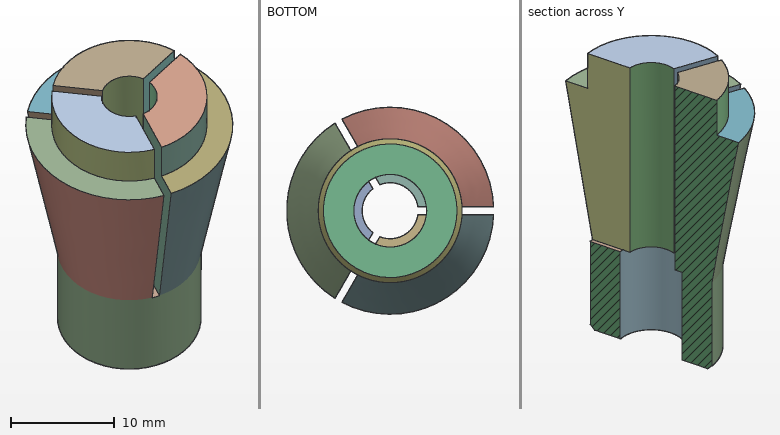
import cadquery as cq

total_height = 31.3
shank_diameter = 13.9
shank_height = 10.08
shank_chamfer = 0.5
head_diameter = 20.0
collar_diameter = 15.0
collar_height = 4.0

grip_diameter = 5.38
relief_diameter = 7.0

slot_count = 3
slot_width = 0.75

shank_radius = shank_diameter / 2
head_radius = head_diameter / 2
collar_radius = collar_diameter / 2
head_top = total_height - collar_height


def make_body():
    """Revolve the shank, conical head and collar about Z."""
    return (
        cq.Workplane("XZ")
        .moveTo(0, 0)
        .lineTo(shank_radius - shank_chamfer, 0)
        .lineTo(shank_radius, shank_chamfer)
        .lineTo(shank_radius, shank_height)
        .lineTo(head_radius, head_top)
        .lineTo(collar_radius, head_top)
        .lineTo(collar_radius, total_height)
        .lineTo(0, total_height)
        .close()
        .revolve(360, (0, 0), (0, 1))
    )


def make_bore():
    """Narrow bore right through, widened inside the shank."""
    grip = cq.Workplane("XY").circle(grip_diameter / 2).extrude(total_height)
    relief = cq.Workplane("XY").circle(relief_diameter / 2).extrude(shank_height)
    return grip.union(relief)


def make_slot(angle):
    """Slot from the axis out through the head, with its floor at the top of the shank."""
    return (
        cq.Workplane("XY", origin=(0, 0, shank_height))
        .center(head_radius / 2, 0)
        .rect(head_radius, slot_width)
        .extrude(total_height - shank_height)
        .rotate((0, 0, 0), (0, 0, 1), angle)
    )


result = make_body().cut(make_bore())
for index in range(slot_count):
    result = result.cut(make_slot(index * 360 / slot_count))